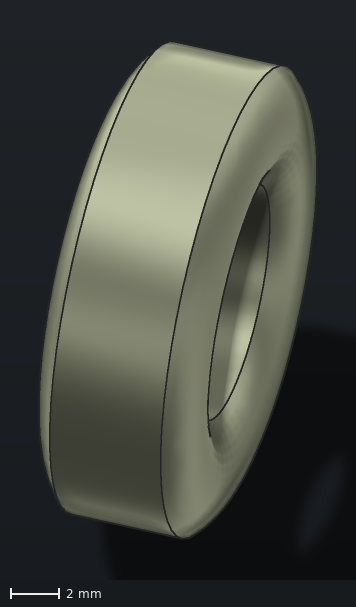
import cadquery as cq

outer_radius = 10.0
bore_radius = 5.0
overall_width = 7.0
rim_width = 4.8

mid_radius = (outer_radius + bore_radius) / 2
half_rim = rim_width / 2
half_width = overall_width / 2

section = (
    cq.Workplane("XY")
    .moveTo(-half_rim, bore_radius)
    .lineTo(half_rim, bore_radius)
    .threePointArc((half_width, mid_radius), (half_rim, outer_radius))
    .lineTo(-half_rim, outer_radius)
    .threePointArc((-half_width, mid_radius), (-half_rim, bore_radius))
    .close()
)

result = section.revolve(360, (0, 0, 0), (1, 0, 0))